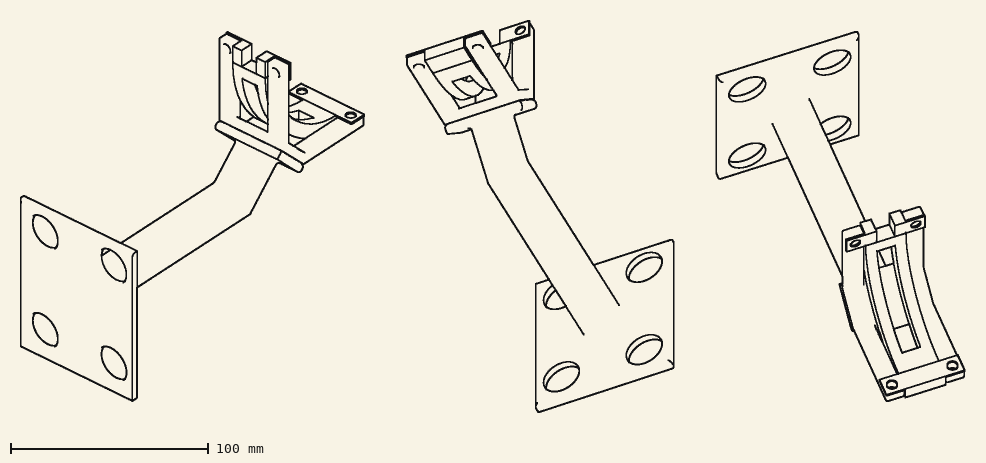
import cadquery as cq
import math

ROOT2 = math.sqrt(2)

overall_length = 198.5
overall_height = 126.6

plate_width = 76.0
plate_height = 90.0
plate_thickness = 5.0
plate_round = 2.0
plate_hole_diameter = 19.9
plate_hole_pitch_x = 46.0
plate_hole_pitch_z = 60.0

arm_width = 20.0
arm_height = 15.3
arm_round = 2.0
bend_round = 2.0
joint_round = 1.8
arm_z = plate_height / 2

frame_width = 42.5
frame_thickness = 6.0
frame_front = 134.8
frame_bottom = 59.0
frame_round = 1.0
web_thickness = 5.4
window_width = 22.5
frame_back = frame_front + frame_thickness
frame_top = frame_bottom + frame_thickness

flange_length = 24.8
flange_thickness = 5.0

web_inner_sum = 218.8
web_outer_sum = web_inner_sum - web_thickness * ROOT2
flange_sum = web_outer_sum - flange_thickness * ROOT2
axis_offset = frame_back - frame_top

strap_width = 21.8
slot_width = 10.0
slot_end_y = 178.0
slot_end_z = 109.2
end_length = 10.0
end_lip = 1.0
end_front = frame_front - end_lip
end_back = frame_back + end_lip
end_bottom = frame_bottom - end_lip
end_top = frame_top + end_lip
strap_end_y = overall_length - end_length
strap_end_z = overall_height - end_length

screw_diameter = 5.4
screw_pitch = 32.8
screw_inset = 5.0
screw_hole_round = 0.8

toward_frame = cq.selectors.DirectionMinMaxSelector(cq.Vector(0, 1, 1))
toward_arm = cq.selectors.DirectionMinMaxSelector(cq.Vector(0, -1, -1))
toward_low_end = cq.selectors.DirectionMinMaxSelector(cq.Vector(0, 1, -1))

tolerance = 0.02


def axis_point(coordinate_sum):
    """Point (Y, Z) on the slanted axis where Y + Z has the given value."""
    return (coordinate_sum + axis_offset) / 2, (coordinate_sum - axis_offset) / 2


def prism(points, width):
    """Extrude a YZ polygon symmetrically about X = 0."""
    return cq.Workplane("YZ").polyline(points).close().extrude(width / 2, both=True)


def block(x_range, y_range, z_range):
    """Box between the given limits."""
    lows, highs = zip(x_range, y_range, z_range)
    sizes = [high - low for low, high in zip(lows, highs)]
    return cq.Workplane("XY").box(*sizes, centered=False).translate(lows)


def centered_range(width):
    return -width / 2, width / 2


def edges_except(shape, excluded):
    """Edges of the shape without those in the excluded list."""
    return shape.edges().filter(lambda edge: not any(edge.isSame(other) for other in excluded))


def upright_screw_holes():
    return (
        cq.Workplane("XZ", origin=(0, end_front, overall_height - screw_inset))
        .rarray(screw_pitch, 2, 2, 1)
        .circle(screw_diameter / 2)
        .extrude(end_front - end_back)
    )


def level_screw_holes():
    return (
        cq.Workplane("XY", origin=(0, overall_length - screw_inset, end_bottom))
        .rarray(screw_pitch, 2, 2, 1)
        .circle(screw_diameter / 2)
        .extrude(end_top - end_bottom)
    )



def make_plate():
    plate = block(centered_range(plate_width), (0, plate_thickness), (0, plate_height))
    rounded = plate.faces(">Y").edges().add(plate.faces("<Y").edges("<X or >Z"))
    plate = rounded.fillet(plate_round)
    holes = (
        cq.Workplane("XZ", origin=(0, 0, arm_z))
        .rarray(plate_hole_pitch_x, plate_hole_pitch_z, 2, 2)
        .circle(plate_hole_diameter / 2)
        .extrude(-plate_thickness)
    )
    return plate.cut(holes).faces("<Y").edges("%CIRCLE").fillet(plate_round)


def make_arm():
    half = arm_height / 2
    bend_shift = half * math.tan(math.radians(45 / 2))
    bend_y = arm_z + axis_offset
    end_y, end_z = axis_point(flange_sum)
    slant = half / ROOT2
    outer_bend = (bend_y + bend_shift, arm_z - half)
    inner_bend = (bend_y - bend_shift, arm_z + half)
    arm = prism([
        (plate_thickness, arm_z - half),
        outer_bend,
        (end_y + slant, end_z - slant),
        (end_y - slant, end_z + slant),
        inner_bend,
        (plate_thickness, arm_z + half),
    ], arm_width)
    for bend in (outer_bend, inner_bend):
        arm = arm.edges(cq.selectors.NearestToPointSelector((0, *bend))).fillet(bend_round)
    end_edges = arm.faces("<Y").add(arm.faces(toward_frame)).edges().vals()
    return edges_except(arm.faces("<X or >X"), end_edges).fillet(arm_round)


def make_flange():
    contact_plane = cq.Plane(origin=(0, *axis_point(web_outer_sum)), xDir=(1, 0, 0), normal=(0, -1, -1))
    flange = cq.Workplane(contact_plane).rect(frame_width, flange_length).extrude(flange_thickness)
    arm_face = flange.faces(toward_arm)
    rounded = flange.faces(toward_frame).edges().add(arm_face.edges("<X")).add(arm_face.edges(toward_low_end))
    return rounded.fillet(plate_round)


def is_arm_joint(edge):
    """True for an edge where the arm meets the plate or the flange."""
    middle = edge.Center()
    beside_arm = abs(middle.x) < arm_width / 2 + tolerance
    in_straight_part = abs(middle.z - arm_z) < arm_height / 2 + tolerance
    in_slanted_part = abs(middle.y - middle.z - axis_offset) / ROOT2 < arm_height / 2 + tolerance
    on_plate = abs(middle.y - plate_thickness) < tolerance and in_straight_part
    on_flange = abs(middle.y + middle.z - flange_sum) < tolerance and in_slanted_part
    return beside_arm and (on_plate or on_flange)


def make_frame():
    frame = prism([
        (frame_front, overall_height),
        (frame_back, overall_height),
        (frame_back, web_inner_sum - frame_back),
        (web_inner_sum - frame_top, frame_top),
        (overall_length, frame_top),
        (overall_length, frame_bottom),
        (web_outer_sum - frame_bottom, frame_bottom),
        (frame_front, web_outer_sum - frame_front),
    ], frame_width)
    window = prism([
        (web_inner_sum - overall_height, overall_height),
        (overall_length, overall_height),
        (overall_length, web_inner_sum - overall_length),
    ], window_width)
    frame = frame.cut(window)
    frame = edges_except(frame, frame.faces(toward_arm).edges().vals()).fillet(frame_round)
    frame = frame.cut(upright_screw_holes()).cut(level_screw_holes())
    hole_rims = frame.faces("<Y").edges("%CIRCLE").add(frame.faces("<Z").edges("%CIRCLE"))
    return hole_rims.fillet(screw_hole_round)


def make_bracket():
    support = make_plate().union(make_arm()).union(make_flange())
    support = support.edges().filter(is_arm_joint).fillet(joint_round)
    return support.union(make_frame())



def elliptical_cylinder(back, top):
    """Elliptical cylinder about the strap centre that reaches Y = back and Z = top on its near sides."""
    return (
        cq.Workplane("YZ", origin=(0, strap_end_y, strap_end_z))
        .ellipse(strap_end_y - back, strap_end_z - top)
        .extrude(strap_width / 2, both=True)
    )


def make_strap():
    ring = elliptical_cylinder(end_front, end_bottom).cut(elliptical_cylinder(end_back, end_top))
    quarter = block(centered_range(strap_width), (end_front, strap_end_y), (end_bottom, strap_end_z))
    slot = block(centered_range(slot_width), (end_front, slot_end_y), (end_bottom, slot_end_z))
    return ring.intersect(quarter).cut(slot)



def make_end_cap():
    y_range = (strap_end_y, overall_length)
    lip = block(centered_range(frame_width), y_range, (frame_top, end_top))
    filling = block(centered_range(strap_width), y_range, (end_bottom, frame_top))
    return lip.union(filling).cut(level_screw_holes())


def make_end_block(side):
    """Block on the upright leg; side is -1 or 1 and gives its sign of X."""
    z_range = (strap_end_z, overall_height)

    def x_range(half_width):
        return sorted((side * slot_width / 2, side * half_width))

    lip = block(x_range(frame_width / 2), (frame_back, end_back), z_range)
    filling = block(x_range(strap_width / 2), (end_front, frame_back), z_range)
    return lip.union(filling).cut(upright_screw_holes())


bracket = make_bracket()
strap = make_strap()
end_cap = make_end_cap()
end_blocks = [make_end_block(side).val() for side in (-1, 1)]

result = cq.Compound.makeCompound([bracket.val(), strap.val(), end_cap.val(), *end_blocks])